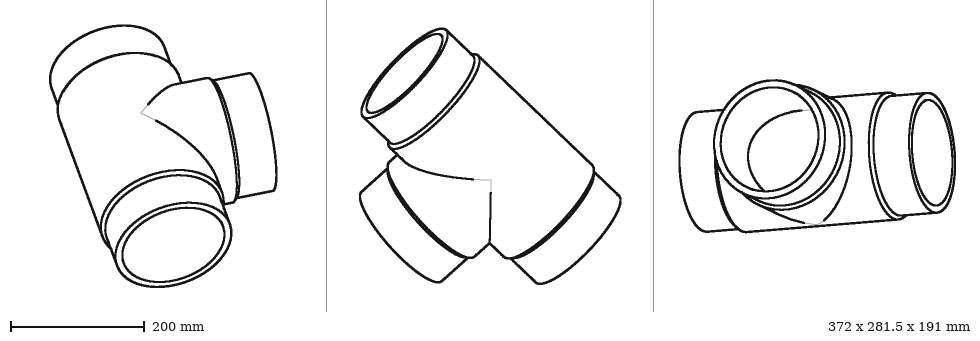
import cadquery as cq

run_length = 372.0
branch_reach = 186.0
body_diameter = 191.0
spigot_diameter = 180.0
bore_diameter = 158.5
spigot_length = 57.5

shoulder_chamfer = (body_diameter - spigot_diameter) / 2
half_run = run_length / 2


def cylinder_along(direction, diameter, length):
    """Solid cylinder from the tee centre outwards along the given axis."""
    return cq.Workplane(
        obj=cq.Solid.makeCylinder(diameter / 2, length, cq.Vector(0, 0, 0), cq.Vector(*direction))
    )


def arm(direction, reach, end_face):
    """Thick body with a chamfered shoulder, then a thinner spigot to the end."""
    body = cylinder_along(direction, body_diameter, reach - spigot_length)
    body = body.faces(end_face).edges().chamfer(shoulder_chamfer)
    return body.union(cylinder_along(direction, spigot_diameter, reach))


arms = [
    ((1, 0, 0), half_run, ">X"),
    ((-1, 0, 0), half_run, "<X"),
    ((0, 1, 0), branch_reach, ">Y"),
]

tee = cq.Workplane()
for direction, reach, end_face in arms:
    tee = tee.add(arm(direction, reach, end_face))
tee = tee.combine(clean=True)

for direction, reach, _ in arms:
    tee = tee.cut(cylinder_along(direction, bore_diameter, reach))

result = tee